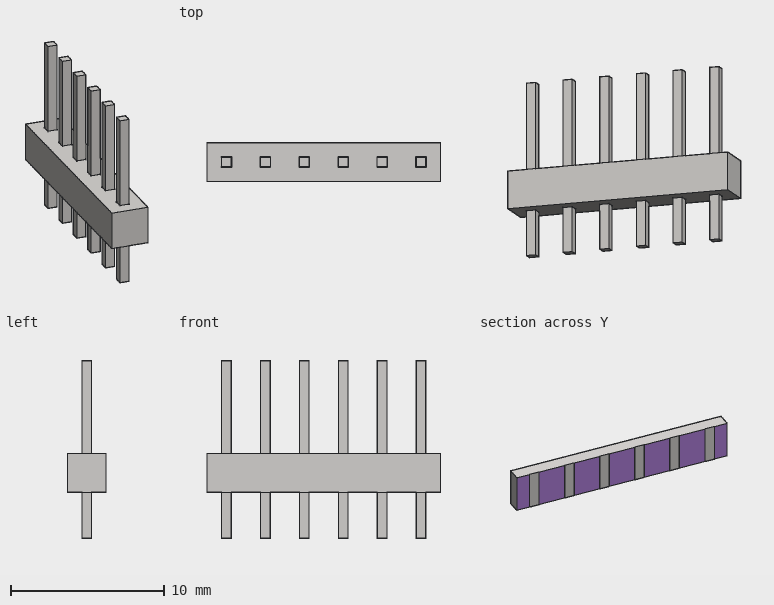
import cadquery as cq

pin_count = 6
housing_length = 15.24
pin_width = 0.64
pin_clearance = 0.02
pin_above = 6.05
pin_below = 3.0

pitch = housing_length / pin_count
housing_width = pitch
housing_height = pitch
hole_width = pin_width + 2 * pin_clearance
pin_length = pin_below + housing_height + pin_above
first_pin_x = -pitch * (pin_count - 1) / 2
pin_positions = [(first_pin_x + i * pitch, 0) for i in range(pin_count)]


def make_housing():
    """Rectangular bar resting on Z = 0, with a clearance through hole for each pin."""
    bar = cq.Workplane("XY").rect(housing_length, housing_width).extrude(housing_height)
    holes = cq.Workplane("XY").pushPoints(pin_positions).rect(hole_width, hole_width).extrude(housing_height)
    return bar.cut(holes)


def make_pin(x, y):
    """Straight square pin passing through the housing."""
    foot = cq.Workplane("XY", origin=(x, y, -pin_below))
    return foot.rect(pin_width, pin_width).extrude(pin_length)


housing = make_housing()
pins = [make_pin(x, y) for x, y in pin_positions]

result = cq.Compound.makeCompound([housing.val(), *[pin.val() for pin in pins]])